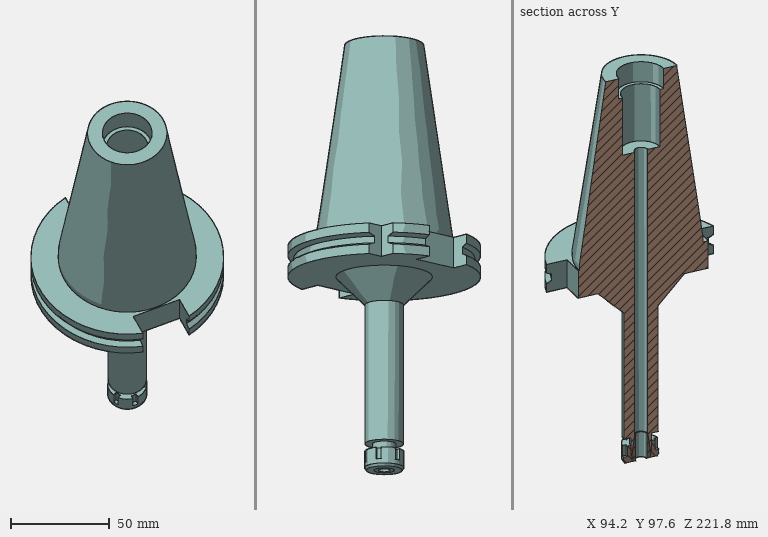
import cadquery as cq
import math

TOTAL_LENGTH = 221.8

TAPER_RATIO = 7 / 24
TAPER_LENGTH = 101.8
GAUGE_DIAMETER = 69.9
GAUGE_RADIUS = GAUGE_DIAMETER / 2
TAPER_TOP_RADIUS = GAUGE_RADIUS - TAPER_LENGTH * TAPER_RATIO / 2
GAUGE_Z = TOTAL_LENGTH - TAPER_LENGTH

FLANGE_RADIUS = 48.8
FLANGE_THICKNESS = 16.0
COLLAR_LENGTH = 3.0
FLANGE_TOP_Z = GAUGE_Z - COLLAR_LENGTH
FLANGE_BOTTOM_Z = FLANGE_TOP_Z - FLANGE_THICKNESS
GROOVE_FLOOR_RADIUS = 46.0
GROOVE_MOUTH_WIDTH = 6.2
GROOVE_FLANK_ANGLE = 26.0
GROOVE_FLANK_WIDTH = (FLANGE_RADIUS - GROOVE_FLOOR_RADIUS) * math.tan(math.radians(GROOVE_FLANK_ANGLE))
GROOVE_MID_Z = (FLANGE_TOP_Z + FLANGE_BOTTOM_Z) / 2

DRIVE_SLOT_WIDTH = 25.7
DRIVE_SLOT_FLOOR_MINUS_X = 37.7
DRIVE_SLOT_FLOOR_PLUS_X = 35.5
NOTCH_OFFSET = 30.0

EXTENSION_RADIUS = 9.8
NECK_CONE_RADIUS = 24.5
NECK_CONE_LENGTH = NECK_CONE_RADIUS - EXTENSION_RADIUS
EXTENSION_BOTTOM_Z = 13.7
NOSE_RADIUS = 6.0
NOSE_BOTTOM_Z = 3.3

COUNTERBORE_DIAMETER = 25.0
COUNTERBORE_RADIUS = COUNTERBORE_DIAMETER / 2
COUNTERBORE_DEPTH = 11.5
THREAD_BORE_RADIUS = 10.5
THREAD_BORE_DEPTH = 44.4

NUT_RADIUS = 10.0
NUT_HEIGHT = 9.8
NUT_CHAMFER_RADIAL = 0.9
NUT_CHAMFER_HEIGHT = 1.3
WRENCH_SLOT_COUNT = 6
WRENCH_SLOT_WIDTH = 2.7
WRENCH_SLOT_LENGTH = 6.0
WRENCH_SLOT_FLOOR_RADIUS = 8.0

COLLET_FRONT_RADIUS = 5.0
COLLET_BACK_Z = 14.5
COLLET_SEAT_ANGLE = 8.0
COLLET_BACK_RADIUS = COLLET_FRONT_RADIUS - (COLLET_BACK_Z - NOSE_BOTTOM_Z) * math.tan(
    math.radians(COLLET_SEAT_ANGLE)
)
COLLET_BORE_DIAMETER = 6.0
COLLET_BORE_RADIUS = COLLET_BORE_DIAMETER / 2


def revolve_profile(points):
    """Revolve a closed (radius, z) outline about the Z axis."""
    return cq.Workplane("XZ").polyline(points).close().revolve(360, (0, 0, 0), (0, 1, 0))


def box_between(x_range, y_range, z_range):
    """Box spanning the given (low, high) ranges."""
    size = [high - low for low, high in (x_range, y_range, z_range)]
    corner = cq.Vector(x_range[0], y_range[0], z_range[0])
    return cq.Workplane(cq.Solid.makeBox(*size, corner))


def make_holder_blank():
    """Solid of revolution: taper, collar, grooved flange, extension and nose."""
    half_mouth = GROOVE_MOUTH_WIDTH / 2
    half_floor = half_mouth - GROOVE_FLANK_WIDTH
    return revolve_profile([
        (0, TOTAL_LENGTH),
        (TAPER_TOP_RADIUS, TOTAL_LENGTH),
        (GAUGE_RADIUS, GAUGE_Z),
        (GAUGE_RADIUS, FLANGE_TOP_Z),
        (FLANGE_RADIUS, FLANGE_TOP_Z),
        (FLANGE_RADIUS, GROOVE_MID_Z + half_mouth),
        (GROOVE_FLOOR_RADIUS, GROOVE_MID_Z + half_floor),
        (GROOVE_FLOOR_RADIUS, GROOVE_MID_Z - half_floor),
        (FLANGE_RADIUS, GROOVE_MID_Z - half_mouth),
        (FLANGE_RADIUS, FLANGE_BOTTOM_Z),
        (NECK_CONE_RADIUS, FLANGE_BOTTOM_Z),
        (EXTENSION_RADIUS, FLANGE_BOTTOM_Z - NECK_CONE_LENGTH),
        (EXTENSION_RADIUS, EXTENSION_BOTTOM_Z),
        (NOSE_RADIUS, EXTENSION_BOTTOM_Z),
        (NOSE_RADIUS, NOSE_BOTTOM_Z),
        (0, NOSE_BOTTOM_Z),
    ])


def make_holder_bore():
    """Counterbore, thread bore, through bore and the conical collet seat as one cutter."""
    ledge_z = TOTAL_LENGTH - COUNTERBORE_DEPTH
    bore_floor_z = TOTAL_LENGTH - THREAD_BORE_DEPTH
    return revolve_profile([
        (0, TOTAL_LENGTH),
        (COUNTERBORE_RADIUS, TOTAL_LENGTH),
        (COUNTERBORE_RADIUS, ledge_z),
        (THREAD_BORE_RADIUS, ledge_z),
        (THREAD_BORE_RADIUS, bore_floor_z),
        (COLLET_BACK_RADIUS, bore_floor_z),
        (COLLET_BACK_RADIUS, COLLET_BACK_Z),
        (COLLET_FRONT_RADIUS, NOSE_BOTTOM_Z),
        (0, NOSE_BOTTOM_Z),
    ])


def make_flange_cutouts():
    """Two drive slots of unequal depth and the corner notch, all through the flange."""
    z_range = (FLANGE_BOTTOM_Z, FLANGE_TOP_Z)
    slot_y = (-DRIVE_SLOT_WIDTH / 2, DRIVE_SLOT_WIDTH / 2)
    return [
        box_between((-FLANGE_RADIUS, -DRIVE_SLOT_FLOOR_MINUS_X), slot_y, z_range),
        box_between((DRIVE_SLOT_FLOOR_PLUS_X, FLANGE_RADIUS), slot_y, z_range),
        box_between((-FLANGE_RADIUS, -NOTCH_OFFSET), (NOTCH_OFFSET, FLANGE_RADIUS), z_range),
    ]


def make_holder():
    holder = make_holder_blank().cut(make_holder_bore())
    for cutout in make_flange_cutouts():
        holder = holder.cut(cutout)
    return holder


def make_nut():
    """Ring around the nose and the collet head, with wrench slots open at its upper face."""
    nut = revolve_profile([
        (COLLET_FRONT_RADIUS, 0),
        (NUT_RADIUS - NUT_CHAMFER_RADIAL, 0),
        (NUT_RADIUS, NUT_CHAMFER_HEIGHT),
        (NUT_RADIUS, NUT_HEIGHT),
        (NOSE_RADIUS, NUT_HEIGHT),
        (NOSE_RADIUS, NOSE_BOTTOM_Z),
        (COLLET_FRONT_RADIUS, NOSE_BOTTOM_Z),
    ])
    wrench_slot = box_between(
        (WRENCH_SLOT_FLOOR_RADIUS, NUT_RADIUS),
        (-WRENCH_SLOT_WIDTH / 2, WRENCH_SLOT_WIDTH / 2),
        (NUT_HEIGHT - WRENCH_SLOT_LENGTH, NUT_HEIGHT),
    )
    for index in range(WRENCH_SLOT_COUNT):
        angle = index * 360 / WRENCH_SLOT_COUNT
        nut = nut.cut(wrench_slot.rotate((0, 0, 0), (0, 0, 1), angle))
    return nut


def make_collet():
    """Bored sleeve: straight head inside the nut and a tapered back inside the nose."""
    return revolve_profile([
        (COLLET_BORE_RADIUS, 0),
        (COLLET_FRONT_RADIUS, 0),
        (COLLET_FRONT_RADIUS, NOSE_BOTTOM_Z),
        (COLLET_BACK_RADIUS, COLLET_BACK_Z),
        (COLLET_BORE_RADIUS, COLLET_BACK_Z),
    ])


holder = make_holder()
nut = make_nut()
collet = make_collet()

result = cq.Compound.makeCompound([holder.val(), nut.val(), collet.val()])